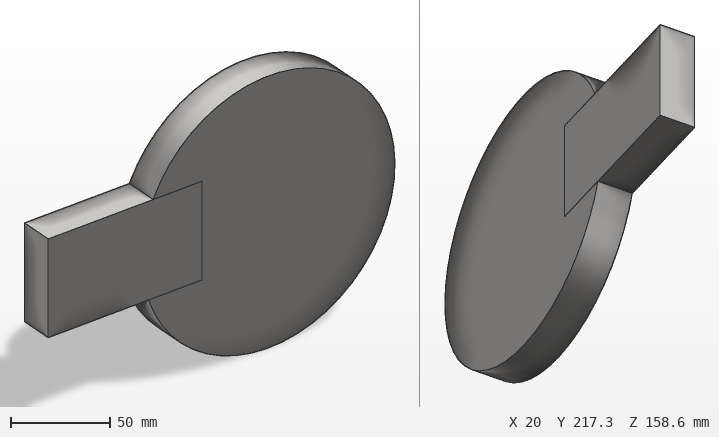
import cadquery as cq

thickness = 20.0
disc_diameter = 158.55
handle_width = 57.5
handle_length = 96.5
overall_length = 217.34
handle_rise = 3.7

disc_radius = disc_diameter / 2
handle_tip_y = disc_radius - overall_length
handle_center_y = handle_tip_y + handle_length / 2


def make_handle():
    """Flat rectangular bar reaching into the disc."""
    return (
        cq.Workplane("YZ")
        .center(handle_center_y, handle_rise)
        .rect(handle_length, handle_width)
        .extrude(thickness)
    )


def make_disc(handle):
    """Round plate with a notch through its rim that the handle fills."""
    plate = cq.Workplane("YZ").circle(disc_radius).extrude(thickness)
    return plate.cut(handle)


handle = make_handle()
disc = make_disc(handle)

result = cq.Compound.makeCompound([disc.val(), handle.val()])